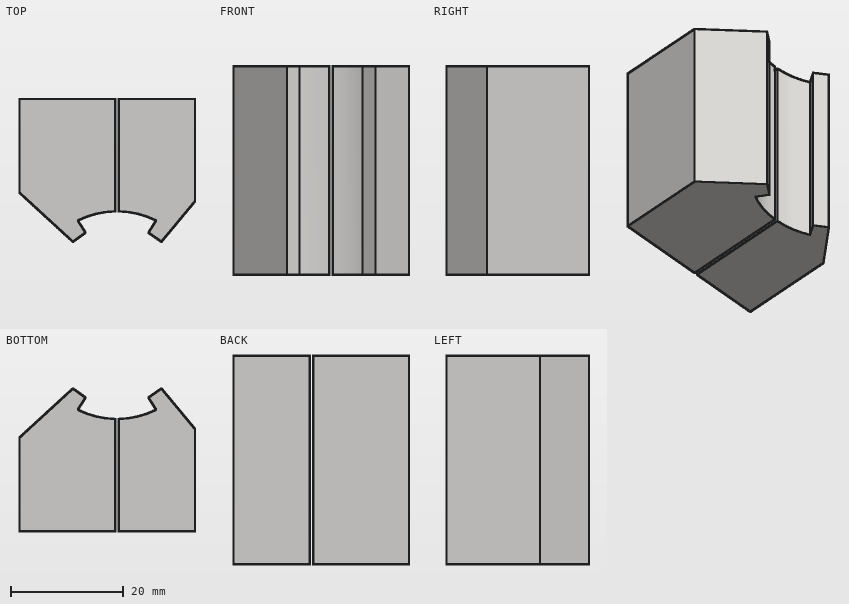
import cadquery as cq
import math

height = 37.0
gap = 0.6

seat_depth = 19.95
seat_half_width = 6.92
seat_rise = 1.63

lip_half_opening = 5.55
lip_inner_depth = 23.7
tip_depth = 25.35

left_width = 17.28
left_flank = 16.65
left_tip_offset = 7.8
right_width = 13.85
right_flank = 18.15
right_tip_offset = 7.88

seat_radius = (seat_half_width**2 + seat_rise**2) / (2 * seat_rise)
seat_center_y = -seat_depth - seat_radius


def seat_point(x):
    """Point of the seat arc at distance x from the centre plane."""
    return x, seat_center_y + math.sqrt(seat_radius**2 - x**2)


def make_jaw(width, flank, tip_offset):
    """Jaw on the +X side of the gap."""
    inner_x = gap / 2
    return (
        cq.Workplane("XY")
        .moveTo(inner_x, 0)
        .lineTo(width, 0)
        .lineTo(width, -flank)
        .lineTo(tip_offset, -tip_depth)
        .lineTo(lip_half_opening, -lip_inner_depth)
        .lineTo(*seat_point(seat_half_width))
        .threePointArc(seat_point((seat_half_width + inner_x) / 2), seat_point(inner_x))
        .close()
        .extrude(height)
    )


right_jaw = make_jaw(right_width, right_flank, right_tip_offset)
left_jaw = make_jaw(left_width, left_flank, left_tip_offset).mirror("YZ")

result = cq.Compound.makeCompound([left_jaw.val(), right_jaw.val()])